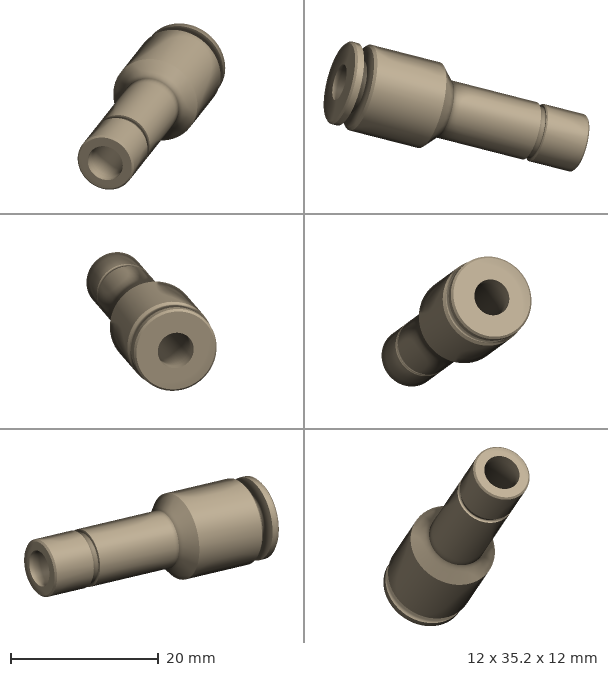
import cadquery as cq

total_length = 35.2
body_diameter = 12.0
stem_diameter = 8.03
groove_diameter = 7.18
neck_diameter = 7.32
cap_diameter = 11.55
bore_diameter = 5.0

groove_start = 6.37
groove_width = 0.85
cone_start = 20.0
cone_length = 2.0
body_end = 32.5
cap_thickness = 1.2

stem_chamfer = 0.25
groove_chamfer = 0.18
body_chamfer = 0.35
end_cone_height = 0.18
neck_fillet = 0.2
cap_chamfer = 0.28


def cylinder(diameter, start, end):
    """Solid cylinder on the Y axis between two stations."""
    return (
        cq.Workplane("XZ", origin=(0, start, 0))
        .circle(diameter / 2)
        .extrude(start - end)
    )


def cone(start_diameter, end_diameter, start, length):
    """Solid truncated cone on the Y axis, growing along +Y."""
    return (
        cq.Workplane("XZ", origin=(0, start, 0))
        .circle(start_diameter / 2)
        .workplane(offset=-length)
        .circle(end_diameter / 2)
        .loft()
    )


def make_stem():
    groove_end = groove_start + groove_width
    tip = cylinder(stem_diameter, 0, groove_start)
    tip = tip.faces("<Y").chamfer(stem_chamfer).faces(">Y").chamfer(groove_chamfer)
    groove_floor = cylinder(groove_diameter, groove_start, groove_end)
    shank = cylinder(stem_diameter, groove_end, cone_start)
    return tip.union(groove_floor).union(shank)


def make_body():
    cone_end = cone_start + cone_length
    shoulder = cone(stem_diameter, body_diameter, cone_start, cone_length)
    barrel = cylinder(body_diameter, cone_end, body_end)
    barrel = barrel.faces(">Y").chamfer(body_chamfer)
    end_cone = cone(body_diameter - 2 * body_chamfer, neck_diameter, body_end, end_cone_height)
    return shoulder.union(barrel).union(end_cone)


def make_release_collar():
    cap_start = total_length - cap_thickness
    neck = cylinder(neck_diameter, body_end, cap_start)
    cap = cylinder(cap_diameter, cap_start, total_length).faces(">Y").chamfer(cap_chamfer)
    neck_root = cq.selectors.RadiusNthSelector(0)
    collar = neck.union(cap)
    return collar.faces("<Y[1]").edges(neck_root).fillet(neck_fillet)


bore = cylinder(bore_diameter, 0, total_length)
result = make_stem().union(make_body()).union(make_release_collar()).cut(bore)